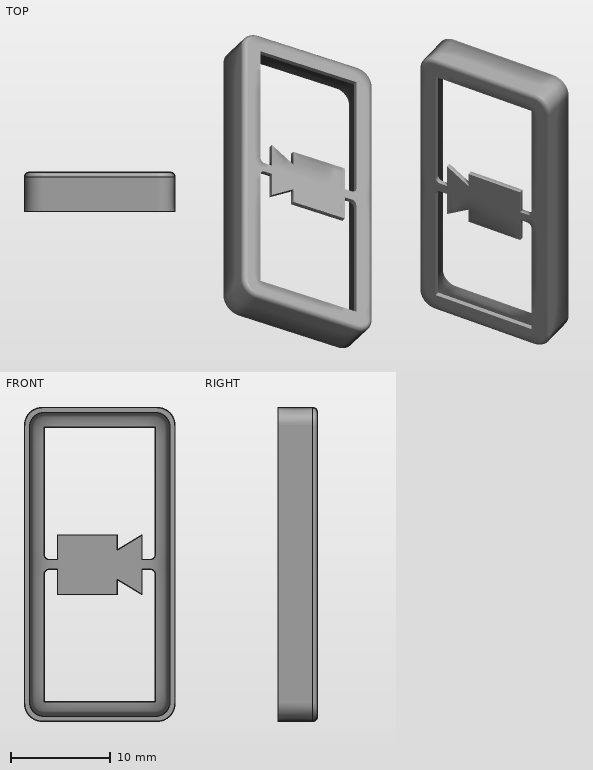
import cadquery as cq

WIDTH = 15.2
DEPTH = 4.0
HEIGHT = 31.7
FRONT_Y = -DEPTH / 2
BACK_Y = DEPTH / 2

WALL = 0.5
OUTER_CORNER_RADIUS = 1.8
INNER_CORNER_RADIUS = 1.5

PANEL_THICKNESS = 0.5
PANEL_FRONT_Y = BACK_Y - PANEL_THICKNESS
BACK_EDGE_RADIUS = PANEL_THICKNESS

WINDOW_MARGIN = 2.0
WINDOW_WIDTH = WIDTH - 2 * WINDOW_MARGIN
WINDOW_HEIGHT = HEIGHT - 2 * WINDOW_MARGIN

CAMERA_BOX = 6.05
HORN_LENGTH = 2.5
HORN_NECK = 3.0
CAMERA_DROP = 0.03

BAR_HEIGHT = 1.0
BAR_ROOT_RADIUS = 0.5


def block(width, height, front, back):
    """Box centred in X and Z, running from front to back along Y."""
    return cq.Workplane("XY").box(width, back - front, height).translate((0, (front + back) / 2, 0))


def outer_block(front, back):
    """Solid filling the outer outline of the tray."""
    return block(WIDTH, HEIGHT, front, back).edges("|Y").fillet(OUTER_CORNER_RADIUS)


def inner_block(front, back):
    """Solid filling the space inside the rim wall."""
    inside = block(WIDTH - 2 * WALL, HEIGHT - 2 * WALL, front, back)
    return inside.edges("|Y").fillet(INNER_CORNER_RADIUS)


def make_rim():
    return outer_block(FRONT_Y, PANEL_FRONT_Y).cut(inner_block(FRONT_Y, PANEL_FRONT_Y))


def make_sheet():
    """Panel without its window: the back slice of a full-depth block with a rounded back edge."""
    full_depth = outer_block(FRONT_Y, BACK_Y).faces(">Y").edges().fillet(BACK_EDGE_RADIUS)
    return full_depth.cut(block(WIDTH, HEIGHT, FRONT_Y, PANEL_FRONT_Y))


def make_openings():
    """The two halves of the window, above and below the bar, rounded at the roots of the bar."""
    window = block(WINDOW_WIDTH, WINDOW_HEIGHT, PANEL_FRONT_Y, BACK_Y)
    bar = block(WINDOW_WIDTH, BAR_HEIGHT, PANEL_FRONT_Y, BACK_Y)
    around_bar = cq.selectors.BoxSelector(
        (-WINDOW_WIDTH, FRONT_Y, -BAR_HEIGHT),
        (WINDOW_WIDTH, BACK_Y, BAR_HEIGHT),
    )
    return window.cut(bar).edges("|Y").edges(around_bar).fillet(BAR_ROOT_RADIUS)


def make_camera():
    half_height = CAMERA_BOX / 2
    half_neck = HORN_NECK / 2
    left = -(CAMERA_BOX + HORN_LENGTH) / 2
    neck = left + CAMERA_BOX
    right = neck + HORN_LENGTH
    outline = [
        (left, -half_height),
        (neck, -half_height),
        (neck, -half_neck),
        (right, -half_height),
        (right, half_height),
        (neck, half_neck),
        (neck, half_height),
        (left, half_height),
    ]
    plane = cq.Workplane("XZ", origin=(0, BACK_Y, -CAMERA_DROP))
    return plane.polyline(outline).close().extrude(PANEL_THICKNESS)


def make_panel():
    return make_sheet().cut(make_openings()).union(make_camera())


rim = make_rim()
panel = make_panel()

result = cq.Compound.makeCompound([rim.solids().val(), panel.solids().val()])